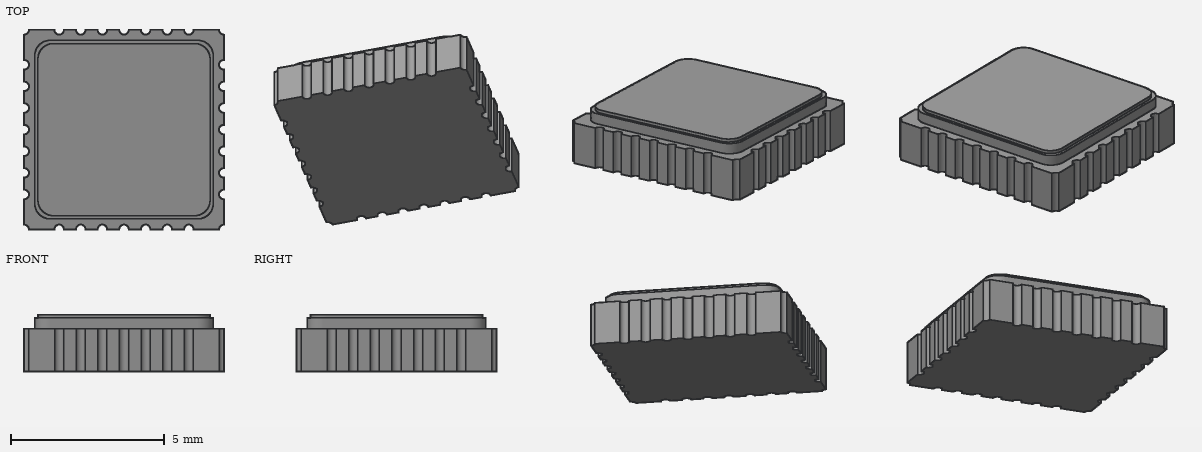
import cadquery as cq

base_size = 6.5
base_height = 1.4
notches_per_side = 7
notch_pitch = 0.7
notch_width = 0.3
notch_depth = 0.16
corner_notch_radius = notch_depth

frame_size = 5.8
frame_height = 0.35
lid_size = 5.59
lid_height = 0.105
corner_radius = 0.5

half_base = base_size / 2
frame_top = base_height + frame_height


def notch_cutters():
    """Vertical round-ended cutters spaced along one side, centred on its edge."""
    middle = (notches_per_side - 1) / 2
    centres = [((i - middle) * notch_pitch, -half_base) for i in range(notches_per_side)]
    return (
        cq.Workplane("XY")
        .pushPoints(centres)
        .slot2D(2 * notch_depth, notch_width, angle=90)
        .extrude(base_height)
    )


def make_base():
    block = cq.Workplane("XY").rect(base_size, base_size).extrude(base_height)
    for angle in (0, 90, 180, 270):
        block = block.cut(notch_cutters().rotate((0, 0, 0), (0, 0, 1), angle))
    corner_cutters = (
        cq.Workplane("XY")
        .rect(base_size, base_size, forConstruction=True)
        .vertices()
        .circle(corner_notch_radius)
        .extrude(base_height)
    )
    return block.cut(corner_cutters)


def make_rounded_plate(size, height, bottom):
    """Square plate with rounded vertical edges, resting at the given height."""
    plate = cq.Workplane("XY").workplane(offset=bottom).rect(size, size).extrude(height)
    return plate.edges("|Z").fillet(corner_radius)


base = make_base()
frame = make_rounded_plate(frame_size, frame_height, base_height)
lid = make_rounded_plate(lid_size, lid_height, frame_top)

result = cq.Compound.makeCompound([base.val(), frame.val(), lid.val()])